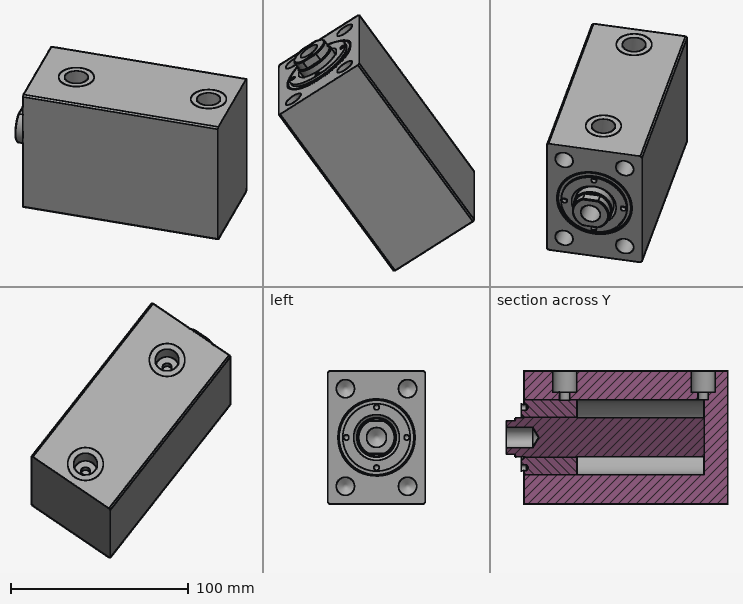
import cadquery as cq
import math


overall_length = 125.0
rod_projection = 10.0
block_width = 55.0
block_height = 75.0
block_edge_chamfer = 1.0
block_length = overall_length - rod_projection

bore_radius = 21.0
bore_mouth_chamfer = 0.8
bore_end_x = 111.5

mount_hole_diameter = 10.2
mount_hole_depth = 20.0
mount_spacing_y = 35.0
mount_spacing_z = 55.0

front_port_x = 33.0
port_spacing = 78.0
rear_port_x = front_port_x + port_spacing
port_seal_diameter = 20.0
port_seal_depth = 0.1
port_thread_diameter = 13.2
port_thread_depth = 12.0
port_passage_diameter = 5.5
rear_passage_floor_gap = 0.2

gland_boss_radius = 19.0
gland_boss_height = 1.5
gland_end_x = 40.0
gland_mouth_radius = 12.9
gland_mouth_depth = 2.0
spanner_hole_circle_radius = 17.0
spanner_hole_diameter = 3.0
spanner_hole_depth = 3.0
spanner_hole_count = 4

rod_radius = 11.1
rod_nose_radius = 10.5
rod_nose_length = 5.0
rod_shoulder_length = 0.5
rod_flat_spacing = 19.0
rod_tip_chamfer = 0.5
rod_hole_diameter = 11.2
rod_hole_depth = 15.0

drill_tip_angle = 118.0


def cylinder_x(radius, start_x, end_x):
    """Cylinder on the X axis."""
    return cq.Workplane("YZ", origin=(start_x, 0, 0)).circle(radius).extrude(end_x - start_x)


def cone_x(start_radius, end_radius, start_x, end_x):
    """Truncated cone on the X axis."""
    profile = [(start_x, 0), (start_x, start_radius), (end_x, end_radius), (end_x, 0)]
    return cq.Workplane("XY").polyline(profile).close().revolve(360, (0, 0, 0), (1, 0, 0))


def drilled_hole_x(diameter, depth, start_x, y=0.0, z=0.0):
    """Blind drilled hole with a conical end, running in +X from start_x."""
    radius = diameter / 2
    tip_length = radius / math.tan(math.radians(drill_tip_angle / 2))
    profile = [(0, 0), (0, radius), (depth, radius), (depth + tip_length, 0)]
    hole = cq.Workplane("XY").polyline(profile).close().revolve(360, (0, 0, 0), (1, 0, 0))
    return hole.translate((start_x, y, z))


def port_bore(x, diameter, floor_z):
    """Vertical cylinder from floor_z up to the top face of the block."""
    height = block_height / 2 - floor_z
    return cq.Workplane("XY", origin=(x, 0, floor_z)).circle(diameter / 2).extrude(height)


def oil_port(x, passage_floor_z):
    """Sealing recess, thread bore and oil passage, all on one vertical axis."""
    top_z = block_height / 2
    return (
        port_bore(x, port_seal_diameter, top_z - port_seal_depth)
        .union(port_bore(x, port_thread_diameter, top_z - port_thread_depth))
        .union(port_bore(x, port_passage_diameter, passage_floor_z))
    )


def make_housing():
    block = (
        cq.Workplane("YZ", origin=(rod_projection, 0, 0))
        .rect(block_width, block_height)
        .extrude(block_length)
        .edges("|X")
        .chamfer(block_edge_chamfer)
    )
    block = block.cut(oil_port(front_port_x, 0))
    block = block.cut(oil_port(rear_port_x, bore_radius + rear_passage_floor_gap))
    block = block.cut(cylinder_x(bore_radius, rod_projection, bore_end_x))
    mouth_end_x = rod_projection + bore_mouth_chamfer
    block = block.cut(cone_x(bore_radius + bore_mouth_chamfer, bore_radius, rod_projection, mouth_end_x))
    for y in (-mount_spacing_y / 2, mount_spacing_y / 2):
        for z in (-mount_spacing_z / 2, mount_spacing_z / 2):
            block = block.cut(drilled_hole_x(mount_hole_diameter, mount_hole_depth, rod_projection, y, z))
    return block


def make_gland():
    boss_face_x = rod_projection - gland_boss_height
    gland = cylinder_x(bore_radius, rod_projection, gland_end_x)
    gland = gland.union(cylinder_x(gland_boss_radius, boss_face_x, rod_projection))
    gland = gland.cut(cylinder_x(rod_radius, boss_face_x, gland_end_x))
    mouth_end_x = boss_face_x + gland_mouth_depth
    gland = gland.cut(cone_x(gland_mouth_radius, rod_radius, boss_face_x, mouth_end_x))
    for index in range(spanner_hole_count):
        angle = 2 * math.pi * index / spanner_hole_count
        y = spanner_hole_circle_radius * math.cos(angle)
        z = spanner_hole_circle_radius * math.sin(angle)
        gland = gland.cut(drilled_hole_x(spanner_hole_diameter, spanner_hole_depth, boss_face_x, y, z))
    return gland


def make_rod():
    nose = cylinder_x(rod_nose_radius, 0, rod_nose_length)
    flats = cq.Workplane("XY").box(2 * rod_nose_length, 2 * rod_nose_radius, rod_flat_spacing)
    nose = nose.intersect(flats).faces("<X").edges().chamfer(rod_tip_chamfer)
    shoulder_x = rod_nose_length + rod_shoulder_length
    shoulder = cone_x(rod_nose_radius, rod_radius, rod_nose_length, shoulder_x)
    shank = cylinder_x(rod_radius, shoulder_x, bore_end_x)
    rod = nose.union(shoulder).union(shank)
    return rod.cut(drilled_hole_x(rod_hole_diameter, rod_hole_depth, 0))


housing = make_housing()
gland = make_gland()
rod = make_rod()

result = cq.Compound.makeCompound([housing.val(), gland.val(), rod.val()])